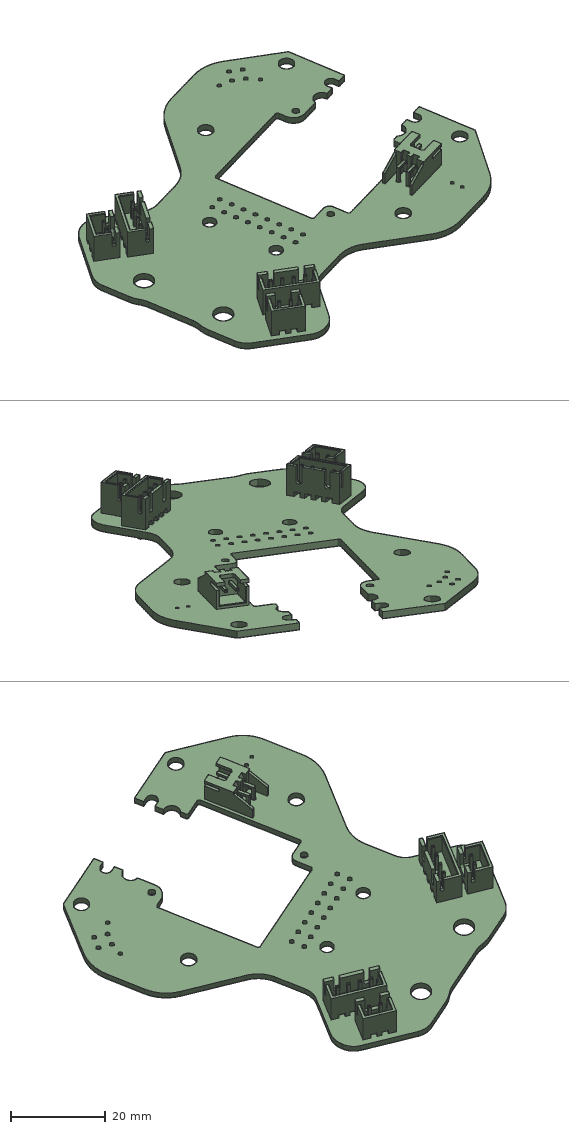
import cadquery as cq
import math

BOARD_LENGTH = 84.5
BOARD_WIDTH = 72.8
BOARD_THICKNESS = 1.6

TOP_EDGE_HALF = 23.5
SHOULDER_LOW_Y = 12.0
SHOULDER_RADIUS = 10.0
NECK_HALF = 20.7
NECK_TOP_RADIUS = 8.0
FOOT_HALF = 30.6
FOOT_UPPER_Y = -26.0
FOOT_LOWER_Y = -30.3
FOOT_RADIUS = 5.0
BASE_RECESS_HEIGHT = 0.8
BASE_RECESS_OUTER = 8.9
BASE_RECESS_INNER = 6.6
BASE_RECESS_RADIUS = 7.0

MOUTH_HALF = 9.4
CUTOUT_LEFT = -15.1
CUTOUT_RIGHT = 15.3
CUTOUT_BOTTOM = -0.25
LEFT_TAB_X = -9.9
LEFT_TAB_Y = 24.4
LEFT_TAB_RADIUS = 2.95
RIGHT_LIP_X = 10.5
RIGHT_LIP_Y = 30.1
RIGHT_TAB_X = 9.7
RIGHT_TAB_Y = 5.3
RIGHT_TAB_RADIUS = 1.5
CUTOUT_CORNER_RADIUS = 0.5
OVERSHOOT = 0.85

SLOT_NOTCH_DIAMETER = 2.7
SLOT_NOTCH_X = 10.6
SLOT_NOTCH_Y = 38.7
ROUND_NOTCH_DIAMETER = 3.8
ROUND_NOTCH_X = 9.5
ROUND_NOTCH_Y = 33.4

SCREW_DIAMETER = 3.5
SCREW_POINTS = [(21.8, 38.8), (24.85, 11.6)]
MIDDLE_DIAMETER = 3.0
MIDDLE_SPREAD = 8.4
MIDDLE_Y = -12.9
BASE_DIAMETER = 4.5
BASE_X = 10.0
BASE_Y = -36.25
TAB_HOLE_DIAMETER = 1.6
TAB_HOLE_X = 12.0
LEFT_TAB_HOLE_Y = 27.0
RIGHT_TAB_HOLE_Y = 3.0
GRID_DIAMETER = 1.0
GRID_LENGTH = 20.95
GRID_COLUMNS = 8
GRID_ROWS = 2
GRID_PITCH = GRID_LENGTH / (GRID_COLUMNS - 1)
GRID_X = 0.1
GRID_Y = -7.1
SENSOR_X = -28.65
SENSOR_Y = 30.1
SENSOR_REACH = 2.1
SENSOR_HOLES = 4
SENSOR_SIDE_DIAMETER = 0.9
SENSOR_SIDE_POINTS = [(-23.75, 31.5), (-30.1, 25.2)]
SPARE_DIAMETER = 0.8
SPARE_COUNT = 2
SPARE_X = 29.7
SPARE_Y = 25.35

LONG_ROW_PINS = 4
SHORT_ROW_PINS = 2
LONG_ROW_LENGTH = 7.5
PIN_PITCH = LONG_ROW_LENGTH / (LONG_ROW_PINS - 1)
PIN_SIZE = 0.7
PIN_TIP_CHAMFER = 0.2
PIN_HOLE_DIAMETER = 1.0
PIN_BELOW_BOARD = 1.8
PIN_TOP_GAP = 0.4
PIN_INSET = 2.4

UPRIGHT_DEPTH = 5.7
SIDE_DEPTH = 6.0
HOUSING_HEIGHT = 7.0
END_MARGIN = 2.45
WALL = 0.8
KEYED_WALL = 0.85
CAVITY_DEPTH = 5.15
MOUTH_CHAMFER = 0.2
END_SLOT_WIDTH = 0.85
END_SLOT_DEPTH = 3.55
END_SLOT_RADIUS = 0.3
KEY_DEPTH = 4.0
WIDE_KEY_RADIUS = 0.5
WIDE_KEY_WIDTH = 3.5
SMALL_KEY_WIDTH = 1.35
SMALL_KEY_RADIUS = 0.5
SMALL_KEY_INSET = 2.9
FOOT_NOTCH_WIDTH = 1.4
FOOT_NOTCH_HEIGHT = 1.0
FOOT_NOTCH_LOW = 0.2

WING_LENGTH = 4.6
WING_THICKNESS = 0.6
WING_TOP_DROP = 0.7
WING_END_HEIGHT = 2.8
TAIL_LENGTH = 2.2

UPRIGHT_PLACES = [
    (LONG_ROW_PINS, -19.35, -25.35, -45),
    (SHORT_ROW_PINS, -22.9, -32.1, -45),
    (LONG_ROW_PINS, 19.6, -25.6, 45),
    (SHORT_ROW_PINS, 23.0, -32.1, 45),
]
SIDE_X = 19.7
SIDE_MOUTH_Y = 29.0


def rounded_outline(corners):
    """Closed wire through (x, y, radius) corners, each rounded by a tangent arc."""
    wire = None
    count = len(corners)
    for i in range(count):
        x, y, radius = corners[i]
        corner = cq.Vector(x, y)
        to_last = (cq.Vector(*corners[i - 1][:2]) - corner).normalized()
        to_next = (cq.Vector(*corners[(i + 1) % count][:2]) - corner).normalized()
        half_angle = to_last.getAngle(to_next) / 2
        tangent = radius / math.tan(half_angle)
        start = corner + to_last * tangent
        if wire is None:
            wire = cq.Workplane("XY").moveTo(start.x, start.y)
        else:
            wire = wire.lineTo(start.x, start.y)
        if radius > 0:
            bisector = (to_last + to_next).normalized()
            middle = corner + bisector * (radius / math.sin(half_angle) - radius)
            end = corner + to_next * tangent
            wire = wire.threePointArc((middle.x, middle.y), (end.x, end.y))
    return wire.close()


def board_blank():
    top = BOARD_LENGTH / 2
    side = BOARD_WIDTH / 2
    right_half = [
        (TOP_EDGE_HALF, top, 0),
        (side, top - (side - TOP_EDGE_HALF), SHOULDER_RADIUS),
        (side, SHOULDER_LOW_Y, SHOULDER_RADIUS),
        (NECK_HALF, SHOULDER_LOW_Y - (side - NECK_HALF), NECK_TOP_RADIUS),
        (NECK_HALF, FOOT_UPPER_Y + (FOOT_HALF - NECK_HALF), FOOT_RADIUS),
        (FOOT_HALF, FOOT_UPPER_Y, FOOT_RADIUS),
        (FOOT_HALF, FOOT_LOWER_Y, FOOT_RADIUS),
        (FOOT_HALF - (FOOT_LOWER_Y + top), -top, FOOT_RADIUS),
        (BASE_RECESS_OUTER, -top, BASE_RECESS_RADIUS),
        (BASE_RECESS_INNER, BASE_RECESS_HEIGHT - top, BASE_RECESS_RADIUS),
    ]
    left_half = [(-x, y, radius) for x, y, radius in reversed(right_half)]
    return rounded_outline(right_half + left_half).extrude(BOARD_THICKNESS)


def board_cutout():
    beyond_top = BOARD_LENGTH / 2 + OVERSHOOT
    corner = CUTOUT_CORNER_RADIUS
    opening = rounded_outline([
        (-MOUTH_HALF, beyond_top, 0),
        (-MOUTH_HALF, ROUND_NOTCH_Y, 0),
        (LEFT_TAB_X, ROUND_NOTCH_Y, 0),
        (LEFT_TAB_X, LEFT_TAB_Y, LEFT_TAB_RADIUS),
        (CUTOUT_LEFT, LEFT_TAB_Y, corner),
        (CUTOUT_LEFT, CUTOUT_BOTTOM, corner),
        (RIGHT_TAB_X, CUTOUT_BOTTOM, corner),
        (RIGHT_TAB_X, RIGHT_TAB_Y, RIGHT_TAB_RADIUS),
        (CUTOUT_RIGHT, RIGHT_TAB_Y, corner),
        (CUTOUT_RIGHT, RIGHT_LIP_Y, corner),
        (RIGHT_LIP_X, RIGHT_LIP_Y, corner),
        (RIGHT_LIP_X, ROUND_NOTCH_Y, 0),
        (MOUTH_HALF, ROUND_NOTCH_Y, 0),
        (MOUTH_HALF, beyond_top, 0),
    ]).extrude(BOARD_THICKNESS)
    slots = (
        cq.Workplane("XY").center(0, SLOT_NOTCH_Y)
        .slot2D(2 * SLOT_NOTCH_X + SLOT_NOTCH_DIAMETER, SLOT_NOTCH_DIAMETER).extrude(BOARD_THICKNESS)
    )
    rounds = drill([(-ROUND_NOTCH_X, ROUND_NOTCH_Y), (ROUND_NOTCH_X, ROUND_NOTCH_Y)], ROUND_NOTCH_DIAMETER)
    return opening.union(slots).union(rounds)


def drill(points, diameter):
    """Cutter for round holes through the board."""
    return cq.Workplane("XY").pushPoints(points).circle(diameter / 2).extrude(BOARD_THICKNESS)


def both_sides(x, y):
    return [(-x, y), (x, y)]


def upright_pin_points(pins, x, y, turn):
    angle = math.radians(turn)
    across = UPRIGHT_DEPTH / 2 - PIN_INSET
    return [
        (
            x + along * math.cos(angle) - across * math.sin(angle),
            y + along * math.sin(angle) + across * math.cos(angle),
        )
        for along in pin_row(pins)
    ]


def side_pin_points():
    leg_y = SIDE_MOUTH_Y - HOUSING_HEIGHT - TAIL_LENGTH
    return [(SIDE_X + along, leg_y) for along in pin_row(SHORT_ROW_PINS)]


def make_board():
    board = board_blank().cut(board_cutout())
    for x, y in SCREW_POINTS:
        board = board.cut(drill(both_sides(x, y), SCREW_DIAMETER))
    middle_holes = [(GRID_X - MIDDLE_SPREAD, MIDDLE_Y), (GRID_X + MIDDLE_SPREAD, MIDDLE_Y)]
    board = board.cut(drill(middle_holes, MIDDLE_DIAMETER))
    board = board.cut(drill(both_sides(BASE_X, BASE_Y), BASE_DIAMETER))
    tab_holes = [(-TAB_HOLE_X, LEFT_TAB_HOLE_Y), (TAB_HOLE_X, RIGHT_TAB_HOLE_Y)]
    board = board.cut(drill(tab_holes, TAB_HOLE_DIAMETER))
    grid = (
        cq.Workplane("XY").center(GRID_X, GRID_Y)
        .rarray(GRID_PITCH, GRID_PITCH, GRID_COLUMNS, GRID_ROWS)
        .circle(GRID_DIAMETER / 2).extrude(BOARD_THICKNESS)
    )
    board = board.cut(grid)
    sensor = (
        cq.Workplane("XY").center(SENSOR_X, SENSOR_Y).polarArray(SENSOR_REACH, 0, 360, SENSOR_HOLES)
        .circle(GRID_DIAMETER / 2).extrude(BOARD_THICKNESS)
    )
    board = board.cut(sensor).cut(drill(SENSOR_SIDE_POINTS, SENSOR_SIDE_DIAMETER))
    spare = [(SPARE_X + along, SPARE_Y) for along in pin_row(SPARE_COUNT)]
    board = board.cut(drill(spare, SPARE_DIAMETER))
    for place in UPRIGHT_PLACES:
        board = board.cut(drill(upright_pin_points(*place), PIN_HOLE_DIAMETER))
    return board.cut(drill(side_pin_points(), PIN_HOLE_DIAMETER))


def pin_row(pins):
    """Pin positions along a row that is centred on zero."""
    return [(i - (pins - 1) / 2) * PIN_PITCH for i in range(pins)]


def housing_length(pins):
    return (pins - 1) * PIN_PITCH + 2 * END_MARGIN


def block(size_x, size_y, bottom, top):
    return cq.Workplane("XY").workplane(offset=bottom).rect(size_x, size_y).extrude(top - bottom)


def make_cavity(length, depth):
    """Cutter for the pocket, with a lead-in chamfer on all mouth edges except the keyed wall's."""
    top = HOUSING_HEIGHT
    inner_length = length - 2 * WALL
    inner_depth = depth - WALL - KEYED_WALL
    middle_y = (WALL - KEYED_WALL) / 2
    pocket = block(inner_length, inner_depth, top - CAVITY_DEPTH, top)
    pocket = pocket.translate((0, middle_y, 0))
    lead_in = (
        cq.Workplane("XY").workplane(offset=top - MOUTH_CHAMFER)
        .center(0, middle_y - MOUTH_CHAMFER / 2)
        .rect(inner_length, inner_depth - MOUTH_CHAMFER).extrude(MOUTH_CHAMFER, taper=-45)
    )
    return pocket.union(lead_in)


def make_foot_notch(depth):
    """Cutter under one pin, its roof sloping down from both long faces to the pin row."""
    back = depth / 2
    return (
        cq.Workplane("YZ")
        .polyline([
            (-back, 0),
            (-back, FOOT_NOTCH_HEIGHT),
            (back - PIN_INSET, FOOT_NOTCH_LOW),
            (back, FOOT_NOTCH_HEIGHT),
            (back, 0),
        ])
        .close().extrude(FOOT_NOTCH_WIDTH / 2, both=True)
    )


def make_housing(pins, depth):
    """Shrouded housing on Z = 0 with its mouth up and its keyed wall at +Y."""
    length = housing_length(pins)
    back = depth / 2
    top = HOUSING_HEIGHT
    housing = block(length, depth, 0, top).cut(make_cavity(length, depth))

    end_slots = block(length, END_SLOT_WIDTH, top - END_SLOT_DEPTH, top)
    end_slots = end_slots.edges("|X and <Z").fillet(END_SLOT_RADIUS)
    housing = housing.cut(end_slots.translate((0, back - KEYED_WALL - END_SLOT_WIDTH / 2, 0)))

    if pins == SHORT_ROW_PINS:
        keys = [(0, WIDE_KEY_WIDTH, WIDE_KEY_RADIUS)]
    else:
        key_x = length / 2 - SMALL_KEY_INSET
        keys = [(side * key_x, SMALL_KEY_WIDTH, SMALL_KEY_RADIUS) for side in (-1, 1)]
    for key_x, width, radius in keys:
        key = block(width, KEYED_WALL, top - KEY_DEPTH, top).edges("|Y and <Z").fillet(radius)
        housing = housing.cut(key.translate((key_x, back - KEYED_WALL / 2, 0)))

    notch = make_foot_notch(depth)
    for pin_x in pin_row(pins):
        housing = housing.cut(notch.translate((pin_x, 0, 0)))
    return housing


def make_upright_connector(pins, x, y, turn):
    connector = make_housing(pins, UPRIGHT_DEPTH)
    pin = block(PIN_SIZE, PIN_SIZE, -BOARD_THICKNESS - PIN_BELOW_BOARD, HOUSING_HEIGHT - PIN_TOP_GAP)
    pin = pin.faces("<Z or >Z").chamfer(PIN_TIP_CHAMFER)
    for pin_x in pin_row(pins):
        connector = connector.union(pin.translate((pin_x, UPRIGHT_DEPTH / 2 - PIN_INSET, 0)))
    return connector.rotate((0, 0, 0), (0, 0, 1), turn).translate((x, y, BOARD_THICKNESS))


def make_side_wing():
    """Side plate behind the lying housing, in the YZ plane, with the housing back at Y = 0."""
    return (
        cq.Workplane("YZ")
        .polyline([
            (0, 0),
            (0, SIDE_DEPTH - WING_TOP_DROP),
            (-WING_LENGTH, WING_END_HEIGHT),
            (-WING_LENGTH, 0),
        ])
        .close().extrude(WING_THICKNESS / 2, both=True)
    )


def make_bent_pin():
    """Pin along +Y out of the housing back at Y = 0, bent down through the board."""
    axis_z = SIDE_DEPTH - PIN_INSET
    half = PIN_SIZE / 2
    tip_y = HOUSING_HEIGHT - PIN_TOP_GAP
    leg_bottom = -BOARD_THICKNESS - PIN_BELOW_BOARD
    profile = [
        (tip_y, axis_z + half),
        (-TAIL_LENGTH - half, axis_z + half),
        (-TAIL_LENGTH - half, leg_bottom),
        (-TAIL_LENGTH + half, leg_bottom),
        (-TAIL_LENGTH + half, axis_z - half),
        (tip_y, axis_z - half),
    ]
    pin = cq.Workplane("YZ").polyline(profile).close().extrude(half, both=True)
    return pin.faces("<Z or >Y").chamfer(PIN_TIP_CHAMFER)


def make_side_connector():
    housing = make_housing(SHORT_ROW_PINS, SIDE_DEPTH).rotate((0, 0, 0), (0, 0, 1), 180)
    housing = housing.rotate((0, 0, 0), (1, 0, 0), -90)
    connector = housing.translate((0, 0, SIDE_DEPTH / 2))
    wing_x = (housing_length(SHORT_ROW_PINS) - WING_THICKNESS) / 2
    for side in (-1, 1):
        connector = connector.union(make_side_wing().translate((side * wing_x, 0, 0)))
    for pin_x in pin_row(SHORT_ROW_PINS):
        connector = connector.union(make_bent_pin().translate((pin_x, 0, 0)))
    return connector.translate((SIDE_X, SIDE_MOUTH_Y - HOUSING_HEIGHT, BOARD_THICKNESS))


board = make_board()
upright_connectors = [make_upright_connector(*place) for place in UPRIGHT_PLACES]
side_connector = make_side_connector()

result = cq.Compound.makeCompound([
    board.val(),
    *[connector.val() for connector in upright_connectors],
    side_connector.val(),
])